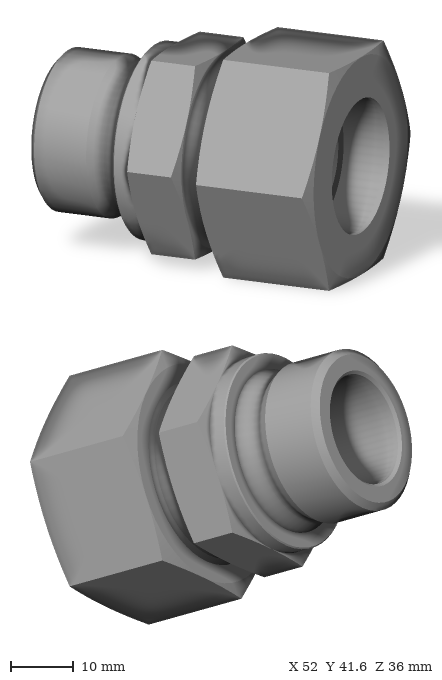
import cadquery as cq
import math


total_length = 52.0
stud_chamfer_end = 1.0
thread_end = 10.1
groove_floor_x = 12.5
collar_front = 16.0
collar_back = 19.0
hex_back = 28.0
neck_end = 31.5
nut_front = 32.0
shank_end = 44.0

bore_radius = 9.0
bore_chamfer = 0.45
stud_front_radius = 12.1
thread_radius = 13.2
groove_floor_radius = 12.1
collar_chamfer = 0.2
neck_radius = 14.05
neck_fillet = 1.1
shank_radius = 15.0
tube_hole_radius = 11.0

front_flank_angle = 30.0
back_flank_angle = 21.0
front_blend_radius = 1.1
back_blend_radius = 1.5

neck_cone_angle = 30.0

body_hex_flats = 32.0
nut_hex_flats = 36.0
collar_radius = body_hex_flats / 2
hex_chamfer_angle = 15.0
hex_chamfer_inset = 0.05


def revolve_about_x(profile):
    """Turn a closed (x, radius) profile around the X axis."""
    return profile.close().revolve(360, (0, 0, 0), (1, 0, 0))


def cylinder_along_x(x_start, x_end, radius):
    return cq.Workplane("YZ", origin=(x_start, 0, 0)).circle(radius).extrude(x_end - x_start)


def chamfered_hexagon(x_start, x_end, across_flats):
    """Hexagonal prism whose corners are turned off by a shallow cone at both ends."""
    corner_radius = across_flats / math.sqrt(3)
    prism = (
        cq.Workplane("YZ", origin=(x_start, 0, 0))
        .polygon(6, 2 * corner_radius)
        .extrude(x_end - x_start)
    )
    end_radius = across_flats / 2 - hex_chamfer_inset
    cone_rise = math.tan(math.radians(hex_chamfer_angle))
    middle_x = (x_start + x_end) / 2
    middle_radius = end_radius + (middle_x - x_start) / cone_rise
    double_cone = revolve_about_x(
        cq.Workplane("XY")
        .moveTo(x_start, 0)
        .lineTo(x_start, end_radius)
        .lineTo(middle_x, middle_radius)
        .lineTo(x_end, end_radius)
        .lineTo(x_end, 0)
    )
    return prism.intersect(double_cone)


def groove_blend_point(blend_radius, angle_degrees, direction):
    """Point on a floor blend where its tangent has turned by the given angle."""
    angle = math.radians(angle_degrees)
    return (
        groove_floor_x + direction * blend_radius * math.sin(angle),
        groove_floor_radius + blend_radius * (1 - math.cos(angle)),
    )


def make_stud():
    """Threaded stud, groove and round collar in front of the body hexagon."""
    front_blend_start = groove_blend_point(front_blend_radius, front_flank_angle, -1)
    front_blend_middle = groove_blend_point(front_blend_radius, front_flank_angle / 2, -1)
    back_blend_middle = groove_blend_point(back_blend_radius, back_flank_angle / 2, 1)
    back_blend_end = groove_blend_point(back_blend_radius, back_flank_angle, 1)
    flank_length = collar_front - back_blend_end[0]
    flank_end_radius = back_blend_end[1] + flank_length * math.tan(math.radians(back_flank_angle))
    return revolve_about_x(
        cq.Workplane("XY")
        .moveTo(0, 0)
        .lineTo(0, stud_front_radius)
        .lineTo(stud_chamfer_end, thread_radius)
        .lineTo(thread_end, thread_radius)
        .lineTo(*front_blend_start)
        .threePointArc(front_blend_middle, (groove_floor_x, groove_floor_radius))
        .threePointArc(back_blend_middle, back_blend_end)
        .lineTo(collar_front, flank_end_radius)
        .lineTo(collar_front, collar_radius - collar_chamfer)
        .lineTo(collar_front + collar_chamfer, collar_radius)
        .lineTo(collar_back, collar_radius)
        .lineTo(collar_back, 0)
    )


def make_shank():
    """Filleted neck behind the hexagon and the wider shank that enters the nut."""
    fillet_top = (hex_back, neck_radius + neck_fillet)
    arc_offset = neck_fillet * (1 - math.sqrt(0.5))
    fillet_middle = (hex_back + arc_offset, neck_radius + arc_offset)
    cone_length = (shank_radius - neck_radius) / math.tan(math.radians(neck_cone_angle))
    return revolve_about_x(
        cq.Workplane("XY")
        .moveTo(hex_back, 0)
        .lineTo(*fillet_top)
        .threePointArc(fillet_middle, (hex_back + neck_fillet, neck_radius))
        .lineTo(neck_end, neck_radius)
        .lineTo(neck_end + cone_length, shank_radius)
        .lineTo(shank_end, shank_radius)
        .lineTo(shank_end, 0)
    )


def make_bore():
    """Through bore with a chamfered mouth at the stud end."""
    return revolve_about_x(
        cq.Workplane("XY")
        .moveTo(0, 0)
        .lineTo(0, bore_radius + bore_chamfer)
        .lineTo(bore_chamfer, bore_radius)
        .lineTo(shank_end, bore_radius)
        .lineTo(shank_end, 0)
    )


def make_fitting_body():
    hexagon = chamfered_hexagon(collar_back, hex_back, body_hex_flats)
    return make_stud().union(hexagon).union(make_shank()).cut(make_bore())


def make_union_nut():
    """Hexagon nut with a recess for the shank and a smaller tube hole behind it."""
    recess = cylinder_along_x(nut_front, shank_end, shank_radius)
    tube_hole = cylinder_along_x(shank_end, total_length, tube_hole_radius)
    return chamfered_hexagon(nut_front, total_length, nut_hex_flats).cut(recess).cut(tube_hole)


fitting_body = make_fitting_body()
union_nut = make_union_nut()

result = cq.Compound.makeCompound([fitting_body.val(), union_nut.val()])